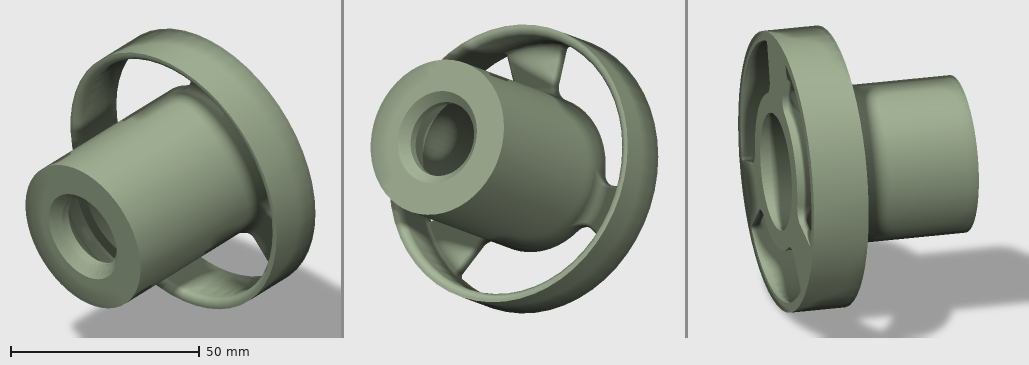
import cadquery as cq
import math


TOTAL_LENGTH = 50.0
RIM_DIAMETER = 75.2
BARREL_DIAMETER = 42.0

NUT_LENGTH = 32.5
BORE_DIAMETER = 20.0
FRONT_WALL = 5.0
BORE_CHAMFER = 2.5
SOCKET_DIAMETER = 38.7
GROOVE_DIAMETER = 39.4
GROOVE_START = 13.0
GROOVE_TAPER = 0.8

HUB_LENGTH = TOTAL_LENGTH - NUT_LENGTH
PLUG_END = 17.5
PLUG_BORE_DIAMETER = 31.5
RIM_WIDTH = 15.05
RIM_INNER_DIAMETER = 70.0
RIM_FILLET = 1.95
SPOKE_COUNT = 3
SPOKE_ANGLE = 30.0
SPOKE_THICKNESS = 2.5
SPOKE_HUB_CORNER = 4.0
SPOKE_RIM_CORNER = 1.0
SPOKE_EDGE_FILLET = 1.0
SPOKE_HUB_FILLET = 2.0
SPOKE_RIM_FILLET = 1.0

barrel_radius = BARREL_DIAMETER / 2
bore_radius = BORE_DIAMETER / 2
socket_radius = SOCKET_DIAMETER / 2
groove_radius = GROOVE_DIAMETER / 2
plug_bore_radius = PLUG_BORE_DIAMETER / 2
rim_inner_radius = RIM_INNER_DIAMETER / 2

front = -TOTAL_LENGTH
joint = -HUB_LENGTH
plug_front = front + PLUG_END


def revolve_profile(points):
    """Turn a closed (radius, Y) outline around the Y axis."""
    return cq.Workplane("XY").polyline(points).close().revolve(360, (0, 0, 0), (0, 1, 0))


def make_nut():
    """Cup-shaped nut: chamfered bore, open socket and a shallow groove in front of the plug."""
    groove_front = front + GROOVE_START
    return revolve_profile([
        (bore_radius + BORE_CHAMFER, front),
        (barrel_radius, front),
        (barrel_radius, joint),
        (socket_radius, joint),
        (socket_radius, plug_front),
        (groove_radius, plug_front - GROOVE_TAPER),
        (groove_radius, groove_front + GROOVE_TAPER),
        (socket_radius, groove_front),
        (socket_radius, front + FRONT_WALL),
        (bore_radius, front + FRONT_WALL),
        (bore_radius, front + BORE_CHAMFER),
    ])


def make_rim():
    """Ring with a rounded inner front edge."""
    rim = cq.Workplane("XZ").circle(RIM_DIAMETER / 2).circle(rim_inner_radius).extrude(RIM_WIDTH)
    return rim.faces("<Y").edges(cq.selectors.RadiusNthSelector(0)).fillet(RIM_FILLET)


def make_hub():
    """Hub with the plug that fills the back of the nut's socket."""
    return revolve_profile([
        (plug_bore_radius, 0),
        (barrel_radius, 0),
        (barrel_radius, joint),
        (socket_radius, joint),
        (socket_radius, plug_front),
        (plug_bore_radius, plug_front),
    ])


def spoke_outline():
    """Outline of the +Z spoke in X and Z, with its corners rounded into hub and rim."""
    flank = math.radians(90 - SPOKE_ANGLE / 2)

    def polar(radius, angle):
        return (radius * math.cos(angle), radius * math.sin(angle))

    def mirrored(point):
        return (-point[0], point[1])

    hub_centre_radius = barrel_radius + SPOKE_HUB_CORNER
    rim_centre_radius = rim_inner_radius - SPOKE_RIM_CORNER
    hub_spread = math.asin(SPOKE_HUB_CORNER / hub_centre_radius)
    rim_spread = math.asin(SPOKE_RIM_CORNER / rim_centre_radius)
    hub_centre = polar(hub_centre_radius, flank - hub_spread)
    rim_centre = polar(rim_centre_radius, flank - rim_spread)

    def corner_middle(centre, radius, start, end):
        middle = (start + end) / 2
        return (centre[0] + radius * math.cos(middle), centre[1] + radius * math.sin(middle))

    toward_flank = flank + math.pi / 2
    hub_start = polar(barrel_radius, flank - hub_spread)
    hub_middle = corner_middle(hub_centre, SPOKE_HUB_CORNER, toward_flank, flank - hub_spread + math.pi)
    hub_end = polar(hub_centre_radius * math.cos(hub_spread), flank)
    rim_start = polar(rim_centre_radius * math.cos(rim_spread), flank)
    rim_middle = corner_middle(rim_centre, SPOKE_RIM_CORNER, toward_flank, flank - rim_spread)
    rim_end = polar(rim_inner_radius, flank - rim_spread)

    return (
        cq.Workplane("XZ")
        .moveTo(*hub_start)
        .threePointArc(hub_middle, hub_end)
        .lineTo(*rim_start)
        .threePointArc(rim_middle, rim_end)
        .threePointArc((0, rim_inner_radius), mirrored(rim_end))
        .threePointArc(mirrored(rim_middle), mirrored(rim_start))
        .lineTo(*mirrored(hub_end))
        .threePointArc(mirrored(hub_middle), mirrored(hub_start))
        .threePointArc((0, barrel_radius), hub_start)
        .close()
    )


def spoke_section():
    """Solid of revolution with the spoke's thickness, flaring out at the hub and the rim."""
    face = -SPOKE_THICKNESS
    arc_middle = 1 - math.sqrt(0.5)
    hub_flare_end = barrel_radius + SPOKE_HUB_FILLET
    rim_flare_end = rim_inner_radius - SPOKE_RIM_FILLET
    return (
        cq.Workplane("XY")
        .moveTo(barrel_radius, 0)
        .lineTo(rim_inner_radius, 0)
        .lineTo(rim_inner_radius, face - SPOKE_RIM_FILLET)
        .threePointArc(
            (rim_inner_radius - SPOKE_RIM_FILLET * arc_middle, face - SPOKE_RIM_FILLET * arc_middle),
            (rim_flare_end, face),
        )
        .lineTo(hub_flare_end, face)
        .threePointArc(
            (barrel_radius + SPOKE_HUB_FILLET * arc_middle, face - SPOKE_HUB_FILLET * arc_middle),
            (barrel_radius, face - SPOKE_HUB_FILLET),
        )
        .close()
        .revolve(360, (0, 0, 0), (0, 1, 0))
    )


def make_spoke():
    """Spoke at +Z with rounded front edges, which run on around the corners at hub and rim."""
    spoke = spoke_outline().extrude(RIM_WIDTH).intersect(spoke_section())
    return spoke.edges("%LINE and (not |Y)").edges("<Y").fillet(SPOKE_EDGE_FILLET)


def make_wheel():
    """Hub, rim and evenly spaced spokes joined into one body."""
    wheel = make_hub().union(make_rim())
    spoke = make_spoke()
    for index in range(SPOKE_COUNT):
        angle = index * 360 / SPOKE_COUNT
        wheel = wheel.union(spoke.rotate((0, 0, 0), (0, 1, 0), angle))
    return wheel


nut = make_nut()
wheel = make_wheel()
result = cq.Compound.makeCompound([nut.val(), wheel.val()])